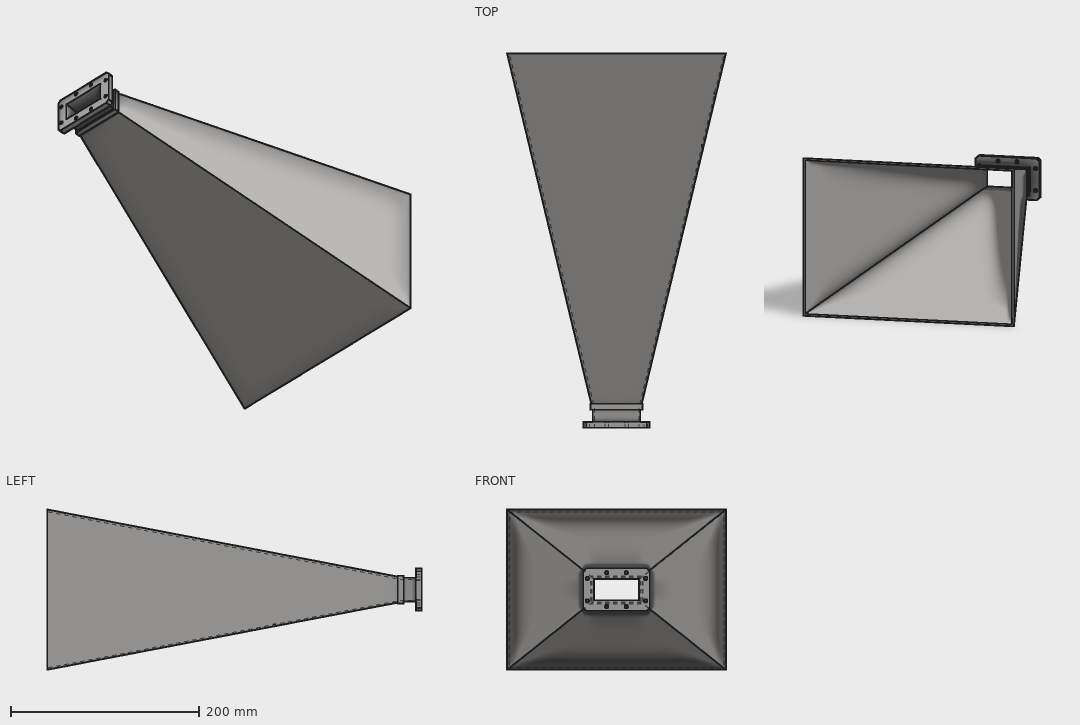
import cadquery as cq

total_length = 398.27
flange_thickness = 6.35
tube_length = 12.925
collar_length = 6.325

bore_width = 47.55
bore_height = 22.15
tube_wall = 1.626
tube_width = bore_width + 2 * tube_wall
tube_height = bore_height + 2 * tube_wall
collar_wall = 2.286
collar_width = tube_width + 2 * collar_wall
collar_height = tube_height + 2 * collar_wall
mouth_width = 232.82
mouth_height = 170.59
throat_width = 53.8
throat_height = 27.9
horn_wall = 2.286

flange_width = 70.5
flange_height = 45.0
flange_chamfer = 3.05
hole_diameter = 3.66
edge_hole_x = 10.4
edge_hole_z = 18.0
side_hole_x = 30.95
side_hole_z = 11.9

flange_front = -total_length / 2
tube_start = flange_front + flange_thickness
collar_start = tube_start + tube_length
flare_start = collar_start + collar_length / 2
horn_start = collar_start + collar_length
mouth_end = total_length / 2


def section_plane(y):
    """Plane across the axis at y, with local x along X, local y along Z and its normal toward -Y."""
    return cq.Workplane("XZ", origin=(0, y, 0))


def block(y_start, y_end, width, height):
    """Straight rectangular block centred on the axis."""
    return section_plane(y_start).rect(width, height).extrude(y_start - y_end)


def frustum(y_start, y_end, start_size, end_size):
    """Rectangular taper centred on the axis; sizes are (width, height) pairs."""
    return (
        section_plane(y_start)
        .rect(*start_size)
        .workplane(offset=y_start - y_end)
        .rect(*end_size)
        .loft(ruled=True)
    )


def mirrored_points(x, z):
    """The four places mirrored about both symmetry planes."""
    return [(side * x, level * z) for side in (-1, 1) for level in (-1, 1)]


def make_flange():
    """Plate with chamfered corners and eight bolt holes through it."""
    plate = block(flange_front, tube_start, flange_width, flange_height)
    plate = plate.edges("|Y").chamfer(flange_chamfer)
    hole_centres = mirrored_points(edge_hole_x, edge_hole_z) + mirrored_points(side_hole_x, side_hole_z)
    holes = (
        section_plane(flange_front)
        .pushPoints(hole_centres)
        .circle(hole_diameter / 2)
        .extrude(-flange_thickness)
    )
    return plate.cut(holes)


def make_horn():
    """Outer taper of the flared horn, still solid."""
    return frustum(horn_start, mouth_end, (throat_width, throat_height), (mouth_width, mouth_height))


def make_passage():
    """Straight bore to the middle of the collar, then a flare that leaves the horn wall at the mouth."""
    bore = block(flange_front, flare_start, bore_width, bore_height)
    mouth_opening = (mouth_width - 2 * horn_wall, mouth_height - 2 * horn_wall)
    flare = frustum(flare_start, mouth_end, (bore_width, bore_height), mouth_opening)
    return bore.union(flare)


tube = block(tube_start, collar_start, tube_width, tube_height)
collar = block(collar_start, horn_start, collar_width, collar_height)
body = make_flange().union(tube).union(collar).union(make_horn())
result = body.cut(make_passage())